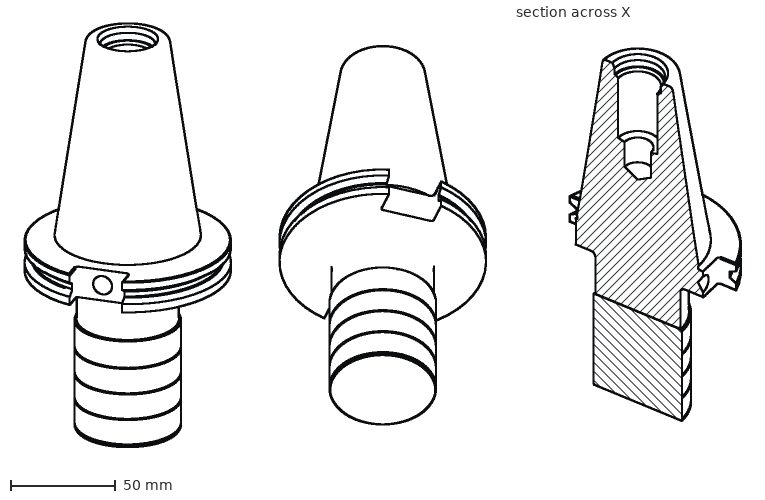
import cadquery as cq
import math

total_height = 201.8
cutter_height = 55.7
flange_bottom = 81.1
flange_thickness = 16.0
flange_top = flange_bottom + flange_thickness
collar_height = 2.5
gauge_level = flange_top + collar_height

gauge_radius = 69.8 / 2
taper_ratio = 7 / 24
taper_end_radius = gauge_radius - taper_ratio * (total_height - gauge_level) / 2
taper_end_round = 2.5

collar_radius = 69.2 / 2
collar_round = 0.6
gauge_edge_height = 1.2

flange_radius = 98.5 / 2
rim_chamfer = 0.5
groove_radius = 91.2 / 2
groove_level = flange_bottom + flange_thickness / 2
groove_mouth = 7.5
groove_floor = 3.2
groove_corner_round = 0.6

neck_radius = 48.8 / 2
neck_round = 2.5

slot_width = 26.2
front_slot_floor = 37.3
back_slot_floor = 35.5
slot_corner_round = 1.2
slot_edge_chamfer = 0.6
dimple_diameter = 9.5

point_angle = 118.0

mouth_radius = 28.9 / 2
pilot_radius = 26.2 / 2
thread_radius = 22.2 / 2
drill_radius = 15.0 / 2
mouth_depth = 2.6
pilot_depth = 6.5
lead_in_radius = 25.0 / 2
thread_depth = 44.4
thread_cone_height = 1.0
drill_depth = 60.5

cutter_radius = 50.8 / 2
ring_count = 4
ring_pitch = 13.3
ring_width = 0.6
ring_depth = 0.1
lowest_ring_level = 1.0
tip_chamfer_height = 0.8
tip_chamfer_width = 0.5
shoulder_chamfer = 0.5


def point_height(radius):
    """Height of a drill point cone with the given base radius."""
    return radius / math.tan(math.radians(point_angle / 2))


def revolve_profile(points):
    """Solid of revolution about Z from (radius, height) points."""
    return cq.Workplane("XZ").polyline(points).close().revolve(360, (0, 0, 0), (0, 1, 0))


def circle_edges_at(level, radius):
    """Selector for the circular edges at this level that are no larger than this radius."""
    margin = 0.1
    reach = radius + margin
    return cq.selectors.BoxSelector(
        (-reach, -reach, level - margin), (reach, reach, level + margin), boundingbox=True
    )


def holder_blank():
    """Taper, collar, grooved flange and neck turned as one piece."""
    blank = revolve_profile([
        (0, cutter_height),
        (neck_radius, cutter_height),
        (neck_radius, flange_bottom),
        (flange_radius, flange_bottom),
        (flange_radius, groove_level - groove_mouth / 2),
        (groove_radius, groove_level - groove_floor / 2),
        (groove_radius, groove_level + groove_floor / 2),
        (flange_radius, groove_level + groove_mouth / 2),
        (flange_radius, flange_top - rim_chamfer),
        (flange_radius - rim_chamfer, flange_top),
        (collar_radius, flange_top),
        (collar_radius, gauge_level - gauge_edge_height),
        (gauge_radius, gauge_level),
        (taper_end_radius, total_height),
        (0, total_height),
    ])
    blank = blank.edges(circle_edges_at(flange_bottom, neck_radius)).fillet(neck_round)
    blank = blank.edges(circle_edges_at(flange_top, collar_radius)).fillet(collar_round)
    for side in (-1, 1):
        corner_level = groove_level + side * groove_floor / 2
        blank = blank.edges(circle_edges_at(corner_level, groove_radius)).fillet(groove_corner_round)
    return blank.faces(">Z").edges().fillet(taper_end_round)


def drive_slot(floor_distance, side):
    """Material removed by one drive slot; side is -1 for -Y and +1 for +Y."""
    length = flange_radius
    slot = cq.Workplane("XY").box(
        slot_width, length, flange_thickness, centered=(True, False, False)
    )
    slot = slot.edges("|Z and <Y").fillet(slot_corner_round)
    edge_break = (
        cq.Workplane("XZ")
        .polyline([
            (-slot_width / 2 - slot_edge_chamfer, flange_thickness),
            (slot_width / 2 + slot_edge_chamfer, flange_thickness),
            (slot_width / 2, flange_thickness - slot_edge_chamfer),
            (-slot_width / 2, flange_thickness - slot_edge_chamfer),
        ])
        .close()
        .extrude(-(length - slot_corner_round))
        .translate((0, slot_corner_round, 0))
    )
    slot = slot.union(edge_break)
    slot = slot.translate((0, floor_distance, flange_bottom))
    if side < 0:
        slot = slot.mirror("XZ")
    return slot


def slot_dimple():
    """Conical dimple in the floor of the -Y slot."""
    radius = dimple_diameter / 2
    cone = cq.Solid.makeCone(
        radius, 0, point_height(radius),
        pnt=cq.Vector(0, -front_slot_floor, groove_level), dir=cq.Vector(0, 1, 0),
    )
    return cq.Workplane(obj=cone)


def taper_bore():
    """Stepped blind bore for the retention knob."""
    lead_in_depth = lead_in_radius - thread_radius
    return revolve_profile([
        (0, total_height),
        (mouth_radius, total_height),
        (pilot_radius, total_height - mouth_depth),
        (pilot_radius, total_height - pilot_depth),
        (lead_in_radius, total_height - pilot_depth),
        (thread_radius, total_height - pilot_depth - lead_in_depth),
        (thread_radius, total_height - thread_depth),
        (drill_radius, total_height - thread_depth - thread_cone_height),
        (drill_radius, total_height - drill_depth),
        (0, total_height - drill_depth - point_height(drill_radius)),
    ])


def make_holder():
    """Taper shank holder with flange, slots and bore."""
    return (
        holder_blank()
        .cut(drive_slot(front_slot_floor, -1))
        .cut(drive_slot(back_slot_floor, 1))
        .cut(slot_dimple())
        .cut(taper_bore())
    )


def make_cutter():
    """Cylindrical cutter below the holder, ringed by shallow grooves."""
    body = revolve_profile([
        (0, 0),
        (cutter_radius - tip_chamfer_width, 0),
        (cutter_radius, tip_chamfer_height),
        (cutter_radius, cutter_height - shoulder_chamfer),
        (cutter_radius - shoulder_chamfer, cutter_height),
        (0, cutter_height),
    ])
    for index in range(ring_count):
        level = lowest_ring_level + index * ring_pitch
        ring = (
            cq.Workplane("XY", origin=(0, 0, level))
            .circle(cutter_radius + ring_depth)
            .circle(cutter_radius - ring_depth)
            .extrude(ring_width)
        )
        body = body.cut(ring)
    return body


holder = make_holder()
cutter = make_cutter()

result = cq.Compound.makeCompound([holder.val(), cutter.val()])